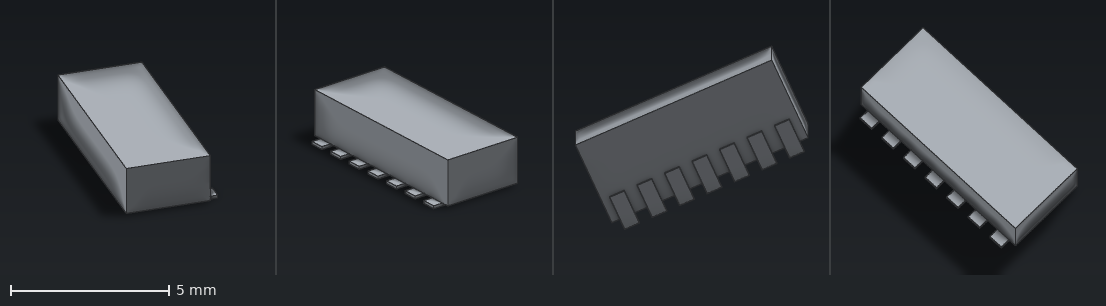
import cadquery as cq

housing_length = 6.8
housing_depth = 2.8
housing_height = 1.6

pad_count = 7
pad_pitch = 0.95
pad_width = 0.51
pad_length = 1.155
pad_thickness = 0.1
pad_overhang = 0.34

pad_rear_y = housing_depth / 2 + pad_overhang
pad_center_y = pad_rear_y - pad_length / 2


def make_housing():
    """Plain block resting on top of the pads, centred on the Z axis."""
    return (
        cq.Workplane("XY")
        .workplane(offset=pad_thickness)
        .rect(housing_length, housing_depth)
        .extrude(housing_height)
    )


def make_pad(center_x):
    """Flat pad standing on Z = 0 and touching the underside of the housing."""
    return (
        cq.Workplane("XY")
        .center(center_x, pad_center_y)
        .rect(pad_width, pad_length)
        .extrude(pad_thickness)
    )


housing = make_housing()

pads = []
for index in range(pad_count):
    steps_from_middle = index - (pad_count - 1) / 2
    pads.append(make_pad(steps_from_middle * pad_pitch))

result = cq.Compound.makeCompound([housing.val(), *[pad.val() for pad in pads]])